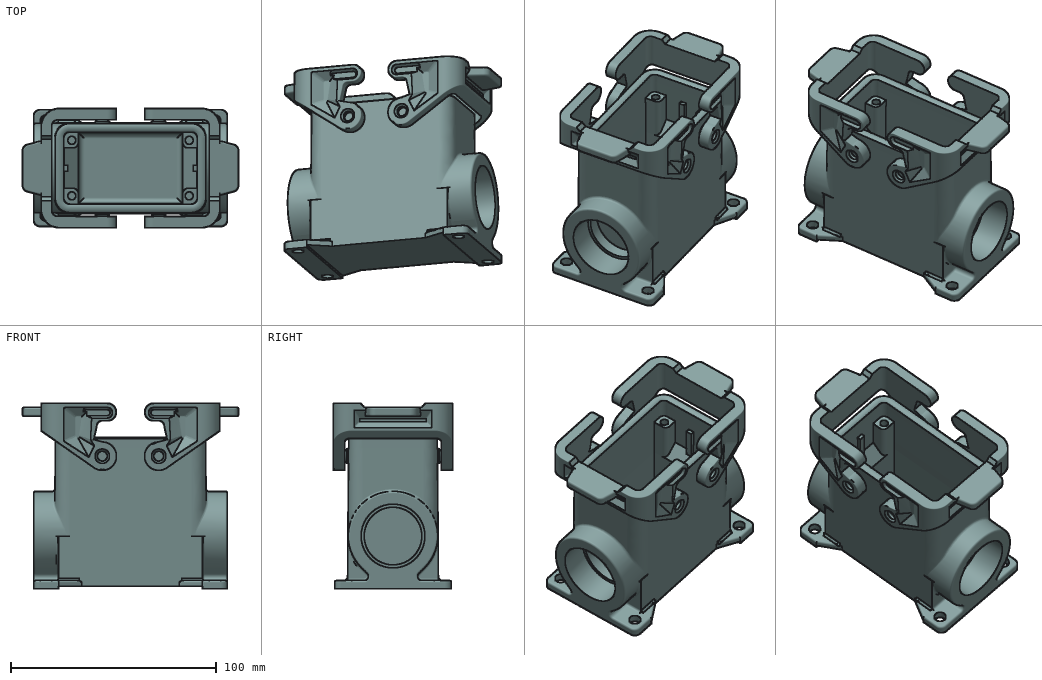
import cadquery as cq
import math


tolerance = 0.01
overlap = 1.0

body_bottom = 1.26
parting_z = 25.7
draft_end_z = 68.5
rim_z = 73.0
crown_rise = 0.7
base_half_x = 35.0
hood_half_x = 36.9
hood_half_y = 21.95
hood_corner_radius = 7.2
hood_draft = 0.45
base_half_y = hood_half_y + (parting_z - body_bottom) * math.tan(math.radians(hood_draft))

mouth_half_x = 32.4
mouth_half_y = 17.5
mouth_radius = 2.8
well_half_x = 25.4
floor_z = 4.3
floor_fillet = 2.2
well_draft = 1.3
slope_top_z = 48.0
slope_bottom_z = 42.0
post_top_z = 62.5
post_x = 28.5
post_y = 13.5
post_inner_y = 9.8
post_corner_radius = 2.5
post_hole_radius = 1.95
post_hole_depth = 6.0
key_width = 3.0
key_depth = 1.9
key_top_z = 62.0

entry_end_x = 47.1
entry_z = parting_z
entry_radius = 21.75
entry_edge_fillet = 1.0
entry_root_fillet = 1.1
entry_root_x = 30.0
neck_fillet = 2.0
bore_radius = 15.5
bore_depth = 14.0
knockout_radius = 14.0
knockout_depth = 20.0

foot_top = 4.1
foot_half_y = 28.4
foot_corner_radius = 3.2
foot_tip_x = 23.8
foot_inner_x = 34.9
foot_root_chamfer = 1.1
foot_hole_x = 41.0
foot_hole_y = 22.9
foot_hole_radius = 2.8

lever_top = 90.2
lever_end_x = 43.45
lever_half_y = 29.035
lever_arm_thickness = 5.6
lever_end_thickness = 5.15
lever_outer_radius = 9.0
lever_inner_radius = 3.0
lever_heel_z = 76.8
lever_edge_fillet = 0.4
pivot_x = 13.7
pivot_z = 64.5
pivot_radius = 6.9
hook_x = 11.2
hook_radius = 4.3
throat_top_x = 16.3
throat_bottom_x = 17.8
throat_bottom_z = 72.6
throat_radius = 2.4
notch_half_y = 13.9

pin_radius = 3.5
pin_tip_radius = 2.6
pin_hub_y = 22.4
pin_recess_depth = 1.0
pin_hole_radius = 2.4
pin_hole_depth = 3.0

side_pocket_depth = 3.0
side_pocket_opening = [(32.4, 88.2), (18.6, 88.2), (19.4, 72.6), (17.6, 69.5), (20.3, 64.0), (32.4, 71.8)]
side_pocket_floor = [(26.8, 84.0), (23.4, 84.0), (24.9, 74.6), (24.9, 73.8), (25.4, 73.2), (26.8, 74.2)]
side_pocket_floor_fillet = 0.8
hook_groove_depth = 1.6
hook_groove_taper = 35.0
hook_groove_tip_x = 8.8
hook_groove_root_x = 24.0
hook_groove_z = 85.6
hook_groove_width = 5.2
pocket_corner_radius = 2.0
end_pocket_corner_radius = 0.6
end_pocket_depth = 2.5
end_pocket_half_y = 18.9
end_pocket_bottom = 78.4
end_pocket_top = 86.8
end_floor_half_y = 16.2
end_floor_bottom = 81.2
end_floor_top = 82.6

handle_tip_x = 52.5
handle_bottom = 83.8
handle_top = 88.3
handle_tip_half_y = 10.9
handle_root_half_y = 14.5
handle_corner_radius = 3.2
handle_edge_fillet = 1.0


def block(x0, x1, y0, y1, z0, z1):
    """Axis-aligned box between opposite corners."""
    return cq.Workplane("XY").box(x1 - x0, y1 - y0, z1 - z0, centered=False).translate((x0, y0, z0))


def mirrored(shape, plane):
    return shape.union(shape.mirror(plane))


def loft_polygons(first, second):
    """Ruled solid between two closed polygons with matching corners."""
    wires = [cq.Wire.makePolygon([cq.Vector(*p) for p in pts], close=True) for pts in (first, second)]
    return cq.Workplane(cq.Solid.makeLoft(wires, True))


def rectangle(half_width, bottom, top):
    """Corners of an upright rectangle centred sideways."""
    return [(-half_width, bottom), (half_width, bottom), (half_width, top), (-half_width, top)]


def rounded_prism(half_x, half_y, radius, z0, z1, taper=0.0):
    outline = cq.Sketch().rect(2 * half_x, 2 * half_y).vertices().fillet(radius)
    return cq.Workplane("XY", origin=(0, 0, z0)).placeSketch(outline).extrude(z1 - z0, taper=taper)


def make_hood():
    """Upper body with the upper halves of both entries blended into its walls."""
    hood = rounded_prism(hood_half_x, hood_half_y, hood_corner_radius, parting_z, draft_end_z, hood_draft)
    skirt = rounded_prism(hood_half_x, hood_half_y, hood_corner_radius, 0, parting_z)
    barrel_start = cq.Workplane("YZ", origin=(-entry_end_x, 0, entry_z))
    barrel = barrel_start.circle(entry_radius).extrude(2 * entry_end_x)
    barrel = barrel.faces("<X or >X").edges().fillet(entry_edge_fillet)
    blended = hood.union(skirt).union(barrel)
    root_edges = blended.edges().filter(is_barrel_root_edge)
    blended = root_edges.fillet(entry_root_fillet)
    below = block(-entry_end_x, entry_end_x, -foot_half_y, foot_half_y, 0, parting_z)
    return blended.cut(below)


def is_barrel_root_edge(edge):
    """Curved edges where an entry barrel runs into the hood walls."""
    box = edge.BoundingBox()
    reach = max(abs(box.xmin), abs(box.xmax))
    on_wall = entry_root_x < abs(edge.Center().x) and reach < entry_end_x - 2 * entry_edge_fillet
    beside_barrel = 0 < box.zmin - tolerance and box.zmax < entry_z + entry_radius + tolerance
    return on_wall and beside_barrel and edge.geomType() != "LINE"


def make_crown(top_x, top_y, top_radius):
    """Convex bead closing the top of the rim all the way round."""
    path = (
        cq.Workplane("XY", origin=(0, 0, rim_z))
        .rect(top_x + mouth_half_x, top_y + mouth_half_y)
        .extrude(overlap)
        .edges("|Z")
        .fillet((top_radius + mouth_radius) / 2)
        .faces("<Z")
        .wires()
        .val()
    )
    half_wall = min(top_x - mouth_half_x, top_y - mouth_half_y) / 2
    return (
        cq.Workplane("YZ", origin=(0, (top_y + mouth_half_y) / 2, rim_z))
        .moveTo(-half_wall, 0)
        .threePointArc((0, crown_rise), (half_wall, 0))
        .close()
        .sweep(cq.Workplane(path))
    )


def make_body():
    base = (
        cq.Workplane("XY", origin=(0, 0, body_bottom))
        .rect(2 * base_half_x, 2 * base_half_y)
        .extrude(parting_z - body_bottom, taper=hood_draft)
    )
    inset = (draft_end_z - parting_z) * math.tan(math.radians(hood_draft))
    top_x = hood_half_x - inset
    top_y = hood_half_y - inset
    top_radius = hood_corner_radius - inset
    collar = rounded_prism(top_x, top_y, top_radius, draft_end_z, rim_z)
    return base.union(make_hood()).union(collar).union(make_crown(top_x, top_y, top_radius))


def make_cavity():
    """Straight mouth, drafted throat, end walls sloping in above the entries, and a drafted well."""
    mouth = rounded_prism(mouth_half_x, mouth_half_y, mouth_radius, draft_end_z, rim_z + crown_rise)
    inset = (draft_end_z - slope_top_z) * math.tan(math.radians(hood_draft))
    throat_x = mouth_half_x - inset
    throat_y = mouth_half_y - inset
    throat = rounded_prism(throat_x, throat_y, mouth_radius - inset, slope_top_z, draft_end_z, -hood_draft)
    funnel = (
        cq.Workplane("XZ", origin=(0, throat_y, 0))
        .polyline([
            (-throat_x, slope_top_z),
            (throat_x, slope_top_z),
            (well_half_x, slope_bottom_z),
            (-well_half_x, slope_bottom_z),
        ])
        .close()
        .extrude(2 * throat_y)
    )
    well = (
        cq.Workplane("XY", origin=(0, 0, slope_bottom_z))
        .rect(2 * well_half_x, 2 * throat_y)
        .extrude(floor_z - slope_bottom_z, taper=well_draft)
    )
    well = well.faces("<Z").edges().fillet(floor_fillet)
    return mouth.union(throat).union(funnel).union(well)


def make_posts():
    """Four screw posts and the two small polarising keys inside the mouth."""
    wall_x = mouth_half_x + overlap
    wall_y = mouth_half_y + overlap
    post = block(well_half_x, wall_x, post_inner_y, wall_y, slope_bottom_z, post_top_z)
    post = post.edges("|Z and <X and <Y").fillet(post_corner_radius)
    hole = cq.Workplane("XY", origin=(post_x, post_y, post_top_z)).circle(post_hole_radius)
    post = post.cut(hole.extrude(-post_hole_depth))
    key_x = mouth_half_x - key_depth
    key = block(key_x, wall_x, -key_width / 2, key_width / 2, slope_bottom_z, key_top_z)
    return mirrored(mirrored(post, "XZ").union(key), "YZ")


def make_entry():
    """Cable entry on the +X side, joined by a neck to the foot plate below it."""
    length = entry_end_x - entry_root_x
    barrel = cq.Workplane("YZ", origin=(entry_root_x, 0, entry_z)).circle(entry_radius).extrude(length)
    tangent = entry_radius * math.sqrt(0.5)
    arc_z = foot_top + neck_fillet
    arc_y = 2 * tangent - entry_z + arc_z + neck_fillet * math.sqrt(2)
    arc_offset = neck_fillet * math.sqrt(0.5)
    half_neck = (
        cq.Workplane("YZ", origin=(foot_inner_x, 0, 0))
        .moveTo(0, entry_z - tangent)
        .lineTo(tangent, entry_z - tangent)
        .lineTo(arc_y - arc_offset, arc_z + arc_offset)
        .threePointArc((arc_y - neck_fillet, arc_z), (arc_y, foot_top))
        .lineTo(0, foot_top)
        .close()
        .extrude(entry_end_x - foot_inner_x)
    )
    entry = barrel.union(mirrored(half_neck, "XZ")).union(make_foot_plate())
    wall = block(foot_tip_x, base_half_x, -2 * foot_half_y, 2 * foot_half_y, -foot_top, 2 * parting_z)
    root_edges = entry.union(wall).edges().filter(is_entry_root_edge)
    blend = root_edges.fillet(entry_root_fillet)
    blend_end = base_half_x + entry_root_fillet
    blend = blend.intersect(
        block(base_half_x - overlap, blend_end, -hood_half_y, hood_half_y, foot_top, parting_z)
    )
    above = block(0, blend_end, -2 * foot_half_y, 2 * foot_half_y, parting_z, 2 * parting_z)
    rounded = entry.edges().filter(is_entry_rim_edge).fillet(entry_edge_fillet)
    return rounded.cut(above).union(blend)


def is_entry_rim_edge(edge):
    """Upper edges of the outer end face and of the wedges."""
    centre = edge.Center()
    box = edge.BoundingBox()
    on_end = box.xmin > entry_end_x - tolerance and centre.z > foot_top - tolerance
    on_top = box.zmin > foot_top - tolerance
    on_wedge = on_top and abs(centre.y) > base_half_y and centre.x < foot_inner_x - tolerance
    return on_end or on_wedge


def is_entry_root_edge(edge):
    """Edges where the entry, neck and foot plate meet the wall plane."""
    centre = edge.Center()
    box = edge.BoundingBox()
    in_wall = box.xmin > base_half_x - tolerance and box.xmax < base_half_x + tolerance
    return in_wall and abs(centre.y) < foot_half_y - tolerance and centre.z > foot_top - tolerance


def make_foot_plate():
    """Foot plate with a pointed wedge running out along each side of the body."""
    plate = block(foot_inner_x, entry_end_x, -foot_half_y, foot_half_y, 0, foot_top)
    plate = plate.edges("|Z and >X").fillet(foot_corner_radius)
    slope = (foot_half_y - base_half_y) / (foot_inner_x - foot_tip_x)
    hidden_y = base_half_y - overlap
    hidden_x = foot_tip_x - overlap / slope
    wedge = (
        cq.Workplane("XY", origin=(0, 0, body_bottom))
        .polyline([(hidden_x, hidden_y), (foot_inner_x, foot_half_y), (foot_inner_x, hidden_y)])
        .close()
        .extrude(foot_top - body_bottom)
    )
    return plate.union(mirrored(wedge, "XZ"))


def make_entry_bore():
    mouth = cq.Workplane("YZ", origin=(entry_end_x, 0, entry_z))
    return mouth.circle(bore_radius).extrude(-bore_depth).union(
        mouth.circle(knockout_radius).extrude(-knockout_depth)
    )


def make_foot_roots():
    """Sloping strips along the body sides where they meet the wedges."""
    strip = (
        cq.Workplane("YZ", origin=(foot_tip_x + foot_root_chamfer, 0, 0))
        .polyline([
            (base_half_y - overlap, foot_top),
            (base_half_y + foot_root_chamfer, foot_top),
            (base_half_y, foot_top + foot_root_chamfer),
            (base_half_y - overlap, foot_top + foot_root_chamfer),
        ])
        .close()
        .extrude(base_half_x - foot_tip_x - foot_root_chamfer)
    )
    return mirrored(strip, "XZ")


def make_foot_holes():
    return (
        cq.Workplane("XY")
        .pushPoints([(foot_hole_x, foot_hole_y), (foot_hole_x, -foot_hole_y)])
        .circle(foot_hole_radius)
        .extrude(foot_top)
    )


def lever_profile():
    """Side outline of the +X lever, extruded over its full width."""
    heel = (lever_end_x - pivot_x, lever_heel_z - pivot_z)
    tangent_angle = math.atan2(heel[1], heel[0]) - math.acos(pivot_radius / math.hypot(*heel))
    tangent_point = (
        pivot_x + pivot_radius * math.cos(tangent_angle),
        pivot_z + pivot_radius * math.sin(tangent_angle),
    )
    hook_z = lever_top - hook_radius
    hook_bottom = hook_z - hook_radius
    arc_inset = throat_radius * (1 - math.sqrt(0.5))
    return (
        cq.Workplane("XZ", origin=(0, lever_half_y, 0))
        .moveTo(lever_end_x, lever_top)
        .lineTo(hook_x, lever_top)
        .threePointArc((hook_x - hook_radius, hook_z), (hook_x, hook_bottom))
        .lineTo(throat_top_x - throat_radius, hook_bottom)
        .threePointArc(
            (throat_top_x - arc_inset, hook_bottom - arc_inset),
            (throat_top_x, hook_bottom - throat_radius),
        )
        .lineTo(throat_bottom_x, throat_bottom_z)
        .lineTo(pivot_x, pivot_z + pivot_radius)
        .threePointArc((pivot_x - pivot_radius, pivot_z), tangent_point)
        .lineTo(lever_end_x, lever_heel_z)
        .close()
        .extrude(2 * lever_half_y)
    )


def make_side_pocket():
    """Sloping recess in the lever cheek on the -Y side, with a shallow groove along the hook."""
    outer_y = -lever_half_y
    inner_y = outer_y + side_pocket_depth
    pocket = loft_polygons(
        [(x, outer_y, z) for x, z in side_pocket_opening],
        [(x, inner_y, z) for x, z in side_pocket_floor],
    )
    heel_corners = pocket.edges().filter(
        lambda edge: outer_y + tolerance < edge.Center().y < inner_y - tolerance
        and edge.Center().x > side_pocket_floor[0][0] + tolerance
    )
    pocket = heel_corners.fillet(pocket_corner_radius)
    pocket = pocket.faces(">Y").edges().fillet(side_pocket_floor_fillet)
    groove = (
        cq.Workplane("XZ", origin=(0, outer_y, 0))
        .center((hook_groove_tip_x + hook_groove_root_x) / 2, hook_groove_z)
        .slot2D(hook_groove_root_x - hook_groove_tip_x, hook_groove_width)
        .extrude(-hook_groove_depth, taper=hook_groove_taper)
    )
    return pocket.union(groove)


def make_end_pocket():
    """Tapered recess in the lever end below the handle."""
    bottom_x = lever_end_x - end_pocket_depth
    pocket = loft_polygons(
        [(lever_end_x, y, z) for y, z in rectangle(end_pocket_half_y, end_pocket_bottom, end_pocket_top)],
        [(bottom_x, y, z) for y, z in rectangle(end_floor_half_y, end_floor_bottom, end_floor_top)],
    )
    corners = pocket.edges().filter(
        lambda edge: bottom_x + tolerance < edge.Center().x < lever_end_x - tolerance
    )
    return corners.fillet(end_pocket_corner_radius)


def make_handle():
    root_x = lever_end_x - lever_end_thickness
    outline = [
        (root_x, -handle_root_half_y),
        (handle_tip_x, -handle_tip_half_y),
        (handle_tip_x, handle_tip_half_y),
        (root_x, handle_root_half_y),
    ]
    handle = (
        cq.Workplane("XY", origin=(0, 0, handle_bottom))
        .polyline(outline)
        .close()
        .extrude(handle_top - handle_bottom)
    )
    handle = handle.edges("|Z and >X").fillet(handle_corner_radius)
    return handle.faces("<Z or >Z").edges(">X").fillet(handle_edge_fillet)


def make_pin(side):
    """Pivot pin between the body and one lever cheek, tapered towards the cheek."""
    inner_y = lever_half_y - lever_arm_thickness
    root_y = hood_half_y - overlap
    plane = cq.Plane(origin=(pivot_x, side * root_y, pivot_z), xDir=(1, 0, 0), normal=(0, side, 0))
    hub = cq.Workplane(plane).circle(pin_radius).extrude(pin_hub_y - root_y)
    tip = hub.faces(cq.selectors.DirectionMinMaxSelector(cq.Vector(0, side, 0))).workplane()
    tip = tip.circle(pin_radius).workplane(offset=inner_y - pin_hub_y).circle(pin_tip_radius)
    cone = tip.loft(combine=False)
    return hub.union(cone)


def make_pin_recess(side):
    plane = cq.Plane(origin=(pivot_x, side * lever_half_y, pivot_z), xDir=(1, 0, 0), normal=(0, -side, 0))
    cone = (
        cq.Workplane(plane)
        .circle(pin_radius)
        .workplane(offset=pin_recess_depth)
        .circle(pin_hole_radius)
        .loft()
    )
    return cone.union(cq.Workplane(plane).circle(pin_hole_radius).extrude(pin_hole_depth))


def make_lever():
    """Locking lever on the +X side."""
    outer = block(0, lever_end_x, -lever_half_y, lever_half_y, 0, lever_top)
    outer = outer.edges("|Z and >X").fillet(lever_outer_radius)
    inner_x = lever_end_x - lever_end_thickness
    inner_y = lever_half_y - lever_arm_thickness
    inner = block(-overlap, inner_x, -inner_y, inner_y, 0, lever_top)
    inner = inner.edges("|Z and >X").fillet(lever_inner_radius)
    lever = lever_profile().intersect(outer).cut(inner)
    lever = lever.faces("<Y or >Y").edges().fillet(lever_edge_fillet)
    notch_depth = lever_top - handle_top
    notch = (
        cq.Workplane("YZ", origin=(inner_x - overlap, 0, 0))
        .polyline([
            (-notch_half_y, handle_top),
            (notch_half_y, handle_top),
            (notch_half_y + notch_depth, lever_top),
            (-notch_half_y - notch_depth, lever_top),
        ])
        .close()
        .extrude(lever_end_thickness + overlap)
    )
    lever = lever.cut(notch).cut(make_end_pocket()).cut(mirrored(make_side_pocket(), "XZ"))
    lever = lever.union(make_handle())
    for side in (-1, 1):
        lever = lever.cut(make_pin_recess(side)).union(make_pin(side))
    return lever


side_parts = make_entry().union(make_foot_roots()).cut(make_foot_holes())
housing = make_body().union(mirrored(side_parts, "YZ"))
housing = housing.cut(make_cavity())
housing = housing.union(make_posts()).cut(mirrored(make_entry_bore(), "YZ"))
result = housing.union(mirrored(make_lever(), "YZ"))